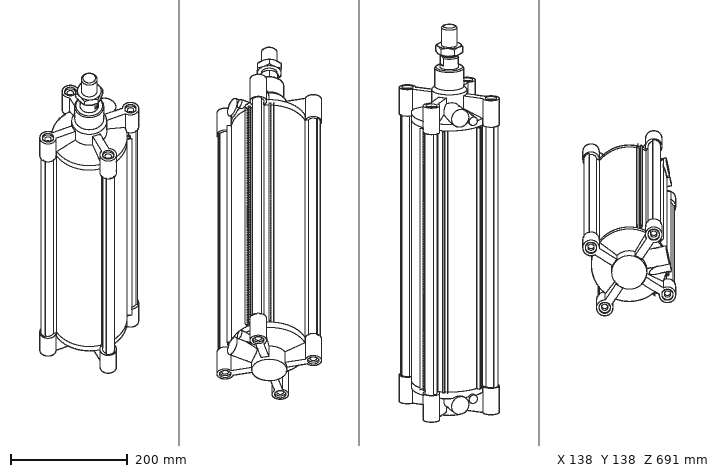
import cadquery as cq
import math

TOTAL_HEIGHT = 691.0
HUB_RISE = 5.9
COVER_HEIGHT = 48.0
REAR_COVER_BASE = HUB_RISE
BARREL_BOTTOM = REAR_COVER_BASE + COVER_HEIGHT
BARREL_LENGTH = 470.0
BARREL_TOP = BARREL_BOTTOM + BARREL_LENGTH
FRONT_COVER_TOP = BARREL_TOP + COVER_HEIGHT

BOLT_PITCH = 110.0
CORNER_RADIUS = BOLT_PITCH / math.sqrt(2)
CORNER_ANGLES = (45, 135, 225, 315)
RAIL_CORNER_ANGLES = (45, 135)
WEB_WIDTH = 14.0

DISC_DIAMETER = 130.0
DISC_HEIGHT = 12.0
CONE_END_HEIGHT = 25.0
HUB_DIAMETER = 60.0
BOSS_DIAMETER = 28.0
BOLT_BORE_DIAMETER = 19.5
BOLT_BORE_DEPTH = 4.0
SOCKET_DIAMETER = 11.0
SOCKET_DEPTH = 10.5

PORT_DIAMETER = 32.0
PORT_X = 7.5
PORT_HEIGHT = 23.5
SCREW_BOSS_DIAMETER = 15.0
SCREW_BOSS_X = -16.5
SCREW_BOSS_HEIGHT = 15.0
PORT_FACE_Y = (BOLT_PITCH + BOSS_DIAMETER) / 2

GUIDE_DIAMETER = 50.0
GUIDE_TOP = 618.0
GUIDE_CHAMFER = 2.0
GUIDE_CONE_HEIGHT = 6.0

BARREL_DIAMETER = 130.0
TIE_CORE_DIAMETER = 19.5
TIE_CAP_DIAMETER = 24.0
TIE_CAP_SPAN = 84.0
RAIL_TOP = 68.5
RAIL_BASE = 59.0
INNER_RAIL_OFFSET = 16.5
OUTER_RAIL_OFFSET = 21.5
OUTER_RAIL_LEAN = 4.0
RAIL_THICKNESS = 2.0
RAIL_LIP = 1.5

ROD_DIAMETER = 32.0
ROD_SHOULDER = 638.5
FLATS_BOTTOM = 623.0
FLATS_WIDTH = 27.5
THREAD_DIAMETER = 27.0
NUT_BOTTOM = 643.0
NUT_HEIGHT = 14.0
THREAD_START = NUT_BOTTOM
RUNOUT_DIAMETER = 19.5
SHOULDER_CHAMFER = 2.0
ROD_TIP_CHAMFER = 3.0
NUT_WIDTH = 41.0
NUT_CHAMFER_HEIGHT = 2.0
NUT_TURN = 30.0


def cylinder(diameter, bottom, height):
    """Upright cylinder on the Z axis."""
    return cq.Workplane("XY").workplane(offset=bottom).circle(diameter / 2).extrude(height)


def at_corner(shape, angle):
    """Move a shape from the Z axis to the corner axis in the given direction."""
    return shape.translate((CORNER_RADIUS, 0, 0)).rotate((0, 0, 0), (0, 0, 1), angle)


def port_boss(diameter, x, height):
    """Horizontal boss from the hub out to the +Y side."""
    return cq.Workplane("XZ").center(x, height).circle(diameter / 2).extrude(-PORT_FACE_Y)


def make_cover():
    """Plain end cover that stands on Z = 0 with its hub pointing up."""
    disc_radius = DISC_DIAMETER / 2
    hub_radius = HUB_DIAMETER / 2
    hub_top = COVER_HEIGHT + HUB_RISE
    cover = (
        cq.Workplane("XZ")
        .moveTo(0, 0)
        .lineTo(disc_radius, 0)
        .lineTo(disc_radius, DISC_HEIGHT)
        .lineTo(hub_radius, CONE_END_HEIGHT)
        .lineTo(hub_radius, hub_top)
        .lineTo(0, hub_top)
        .close()
        .revolve(360, (0, 0, 0), (0, 1, 0))
    )
    rib = cq.Workplane("XY").box(CORNER_RADIUS, WEB_WIDTH, COVER_HEIGHT, centered=(False, True, False))
    for angle in CORNER_ANGLES:
        cover = cover.union(rib.rotate((0, 0, 0), (0, 0, 1), angle))
        cover = cover.union(at_corner(cylinder(BOSS_DIAMETER, 0, COVER_HEIGHT), angle))
    cover = cover.union(port_boss(PORT_DIAMETER, PORT_X, PORT_HEIGHT))
    cover = cover.union(port_boss(SCREW_BOSS_DIAMETER, SCREW_BOSS_X, SCREW_BOSS_HEIGHT))
    bore_floor = COVER_HEIGHT - BOLT_BORE_DEPTH
    for angle in CORNER_ANGLES:
        bore = cylinder(BOLT_BORE_DIAMETER, bore_floor, BOLT_BORE_DEPTH)
        socket = cylinder(SOCKET_DIAMETER, bore_floor - SOCKET_DEPTH, SOCKET_DEPTH)
        cover = cover.cut(at_corner(bore, angle)).cut(at_corner(socket, angle))
    return cover


def make_rear_cover():
    """Cover mirrored so that its hub points down."""
    return make_cover().mirror("XY").translate((0, 0, BARREL_BOTTOM))


def make_front_cover():
    """Cover with the rod guide and the rod hole."""
    cover = make_cover().translate((0, 0, BARREL_TOP))
    hub_top = FRONT_COVER_TOP + HUB_RISE
    shoulder = (
        cq.Workplane("XY")
        .workplane(offset=hub_top)
        .circle(HUB_DIAMETER / 2)
        .workplane(offset=GUIDE_CONE_HEIGHT)
        .circle(GUIDE_DIAMETER / 2)
        .loft()
    )
    guide = cylinder(GUIDE_DIAMETER, hub_top, GUIDE_TOP - hub_top).faces(">Z").chamfer(GUIDE_CHAMFER)
    rod_hole = cylinder(ROD_DIAMETER, BARREL_TOP, GUIDE_TOP - BARREL_TOP)
    return cover.union(shoulder).union(guide).cut(rod_hole)


def make_tie_lobe():
    """Web, round core and outer cap of one barrel corner, pointing along +X."""
    web = (
        cq.Workplane("XY")
        .box(CORNER_RADIUS, WEB_WIDTH, BARREL_LENGTH, centered=(False, True, False))
        .translate((0, 0, BARREL_BOTTOM))
    )
    core = cylinder(TIE_CORE_DIAMETER, BARREL_BOTTOM, BARREL_LENGTH)
    cap_radius = TIE_CAP_DIAMETER / 2
    half_span = math.radians(TIE_CAP_SPAN / 2)
    cap_x = cap_radius * math.cos(half_span)
    cap_y = cap_radius * math.sin(half_span)
    cap = (
        cq.Workplane("XY")
        .workplane(offset=BARREL_BOTTOM)
        .lineTo(cap_x, -cap_y)
        .threePointArc((cap_radius, 0), (cap_x, cap_y))
        .close()
        .extrude(BARREL_LENGTH)
    )
    return web.union(core.union(cap).translate((CORNER_RADIUS, 0, 0)))


def make_sensor_rails():
    """Slotted rails on both sides of one corner, which points along +X."""
    lip_base = RAIL_TOP - RAIL_THICKNESS
    inner_wall = INNER_RAIL_OFFSET + RAIL_THICKNESS
    inner_rail = (
        cq.Workplane("XY")
        .workplane(offset=BARREL_BOTTOM)
        .moveTo(RAIL_BASE, INNER_RAIL_OFFSET)
        .lineTo(RAIL_TOP, INNER_RAIL_OFFSET)
        .lineTo(RAIL_TOP, inner_wall + RAIL_LIP)
        .lineTo(lip_base, inner_wall + RAIL_LIP)
        .lineTo(lip_base, inner_wall)
        .lineTo(RAIL_BASE, inner_wall)
        .close()
        .extrude(BARREL_LENGTH)
    )
    outer_rail = (
        cq.Workplane("XY")
        .workplane(offset=BARREL_BOTTOM)
        .moveTo(RAIL_BASE, OUTER_RAIL_OFFSET)
        .lineTo(RAIL_TOP, OUTER_RAIL_OFFSET + OUTER_RAIL_LEAN)
        .lineTo(RAIL_BASE, OUTER_RAIL_OFFSET + RAIL_THICKNESS)
        .close()
        .extrude(BARREL_LENGTH)
    )
    pair = inner_rail.union(outer_rail)
    return pair.union(pair.mirror("XZ"))


def make_barrel():
    """Round barrel with a lobe at each corner and sensor rails on the +Y side."""
    barrel = cylinder(BARREL_DIAMETER, BARREL_BOTTOM, BARREL_LENGTH)
    lobe = make_tie_lobe()
    rails = make_sensor_rails()
    for angle in CORNER_ANGLES:
        barrel = barrel.union(lobe.rotate((0, 0, 0), (0, 0, 1), angle))
    for angle in RAIL_CORNER_ANGLES:
        barrel = barrel.union(rails.rotate((0, 0, 0), (0, 0, 1), angle))
    return barrel


def make_rod():
    """Piston rod with wrench flats, a thread run-out and a threaded end."""
    rod_radius = ROD_DIAMETER / 2
    thread_radius = THREAD_DIAMETER / 2
    rod = (
        cq.Workplane("XZ")
        .moveTo(0, BARREL_TOP)
        .lineTo(rod_radius, BARREL_TOP)
        .lineTo(rod_radius, ROD_SHOULDER - SHOULDER_CHAMFER)
        .lineTo(rod_radius - SHOULDER_CHAMFER, ROD_SHOULDER)
        .lineTo(RUNOUT_DIAMETER / 2, ROD_SHOULDER)
        .lineTo(thread_radius, THREAD_START)
        .lineTo(thread_radius, TOTAL_HEIGHT - ROD_TIP_CHAMFER)
        .lineTo(thread_radius - ROD_TIP_CHAMFER, TOTAL_HEIGHT)
        .lineTo(0, TOTAL_HEIGHT)
        .close()
        .revolve(360, (0, 0, 0), (0, 1, 0))
    )
    flats_height = ROD_SHOULDER - FLATS_BOTTOM
    cutter = cq.Workplane("XY").box(ROD_DIAMETER, ROD_DIAMETER, flats_height, centered=(False, True, False))
    for angle in (0, 180):
        flat = cutter.translate((FLATS_WIDTH / 2, 0, FLATS_BOTTOM)).rotate((0, 0, 0), (0, 0, 1), angle)
        rod = rod.cut(flat)
    return rod


def make_nut():
    """Hexagon lock nut with chamfered corners."""
    corner_diameter = NUT_WIDTH / math.cos(math.pi / 6)
    nut_top = NUT_BOTTOM + NUT_HEIGHT
    hexagon = (
        cq.Workplane("XY")
        .workplane(offset=NUT_BOTTOM)
        .polygon(6, corner_diameter)
        .extrude(NUT_HEIGHT)
        .rotate((0, 0, 0), (0, 0, 1), NUT_TURN)
    )
    corner_radius = corner_diameter / 2
    face_radius = NUT_WIDTH / 2
    envelope = (
        cq.Workplane("XZ")
        .moveTo(0, NUT_BOTTOM)
        .lineTo(face_radius, NUT_BOTTOM)
        .lineTo(corner_radius, NUT_BOTTOM + NUT_CHAMFER_HEIGHT)
        .lineTo(corner_radius, nut_top - NUT_CHAMFER_HEIGHT)
        .lineTo(face_radius, nut_top)
        .lineTo(0, nut_top)
        .close()
        .revolve(360, (0, 0, 0), (0, 1, 0))
    )
    return hexagon.intersect(envelope).cut(cylinder(THREAD_DIAMETER, NUT_BOTTOM, NUT_HEIGHT))


rear_cover = make_rear_cover()
front_cover = make_front_cover()
barrel = make_barrel()
rod = make_rod()
nut = make_nut()

result = cq.Compound.makeCompound(
    [rear_cover.val(), front_cover.val(), barrel.val(), rod.val(), nut.val()]
)